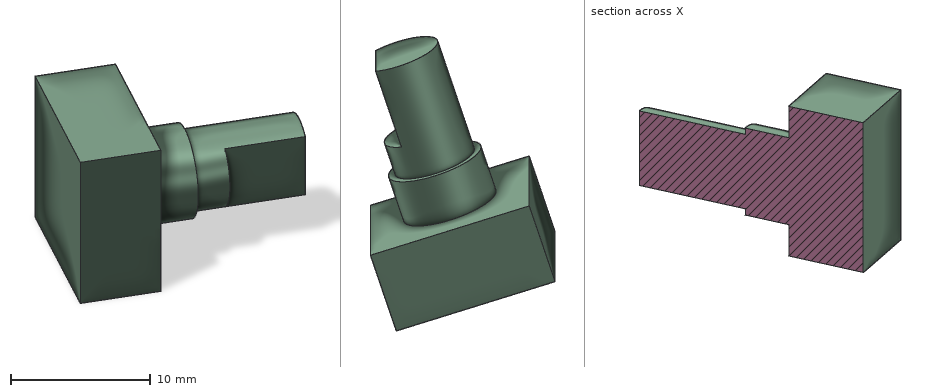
import cadquery as cq

housing_width = 12.0
housing_depth = 6.0

bushing_diameter = 7.0
bushing_length = 3.5

overall_length = 18.0
shaft_diameter = 6.0
flat_length = 6.0
flat_offset = 1.7

shaft_start = housing_depth + bushing_length
shaft_length = overall_length - shaft_start
flat_start = overall_length - flat_length


def cylinder_along_y(diameter, start, length):
    """Cylinder on the shaft axis, running from Y = start toward +Y."""
    return cq.Workplane("XZ", origin=(0, start, 0)).circle(diameter / 2).extrude(-length)


def make_housing():
    return cq.Workplane("XY").box(
        housing_width, housing_depth, housing_width, centered=(True, False, True)
    )


def make_shaft():
    shaft = cylinder_along_y(shaft_diameter, shaft_start, shaft_length)
    flat_cutter = (
        cq.Workplane("XY")
        .box(shaft_diameter, flat_length, shaft_diameter, centered=(False, False, True))
        .translate((flat_offset, flat_start, 0))
    )
    return shaft.cut(flat_cutter)


bushing = cylinder_along_y(bushing_diameter, housing_depth, bushing_length)

result = make_housing().union(bushing).union(make_shaft())